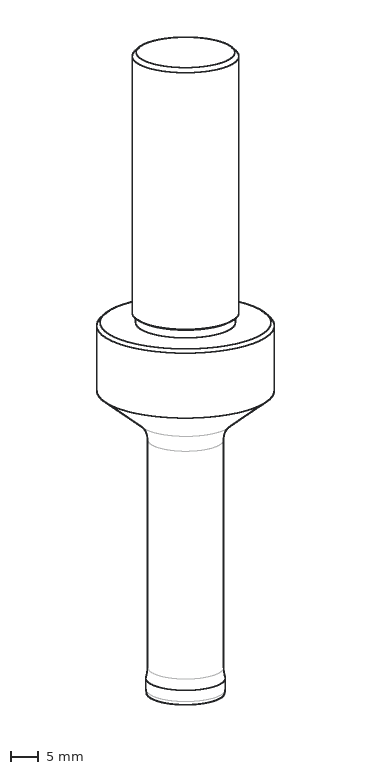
import cadquery as cq
import math

total_height = 120.8

shank_radius = 9.5
shank_bottom = 71.9
shank_chamfer = 0.7
neck_radius = 8.9
neck_step_height = 0.4

collar_radius = 15.88
collar_top = 70.0
collar_bottom = 57.2
collar_chamfer = 0.6
cone_angle = 38.0
stem_radius = 6.82
stem_fillet_radius = 4.2

head_radius = 7.1
head_top = 3.3
head_flare_radius = 7.2
head_chamfer_radial = 0.1
head_chamfer_height = 0.7
tip_cone_top = 0.5


def make_holder():
    """Shank, neck, collar, cone and stem, revolved as one solid."""
    angle = math.radians(cone_angle)
    fillet_center_x = stem_radius + stem_fillet_radius
    fillet_start_x = fillet_center_x - stem_fillet_radius * math.sin(angle)
    fillet_start_z = collar_bottom - (collar_radius - fillet_start_x) * math.tan(angle)
    fillet_end_z = fillet_start_z - stem_fillet_radius * math.cos(angle)
    mid_angle = (math.pi / 2 - angle) / 2
    fillet_mid_x = fillet_center_x - stem_fillet_radius * math.cos(mid_angle)
    fillet_mid_z = fillet_end_z + stem_fillet_radius * math.sin(mid_angle)

    flare_center_x = stem_radius + head_flare_radius
    flare_angle = math.acos((flare_center_x - head_radius) / head_flare_radius)
    flare_top = head_top + head_flare_radius * math.sin(flare_angle)
    flare_mid_x = flare_center_x - head_flare_radius * math.cos(flare_angle / 2)
    flare_mid_z = flare_top - head_flare_radius * math.sin(flare_angle / 2)

    return (
        cq.Workplane("XZ")
        .moveTo(0, total_height)
        .lineTo(shank_radius - shank_chamfer, total_height)
        .lineTo(shank_radius, total_height - shank_chamfer)
        .lineTo(shank_radius, shank_bottom)
        .lineTo(neck_radius, shank_bottom - neck_step_height)
        .lineTo(neck_radius, collar_top)
        .lineTo(collar_radius - collar_chamfer, collar_top)
        .lineTo(collar_radius, collar_top - collar_chamfer)
        .lineTo(collar_radius, collar_bottom)
        .lineTo(fillet_start_x, fillet_start_z)
        .threePointArc((fillet_mid_x, fillet_mid_z), (stem_radius, fillet_end_z))
        .lineTo(stem_radius, flare_top)
        .threePointArc((flare_mid_x, flare_mid_z), (head_radius, head_top))
        .lineTo(0, head_top)
        .close()
        .revolve(360, (0, 0), (0, 1))
    )


def make_head():
    """Short cylindrical head with a chamfered rim and a shallow conical tip."""
    return (
        cq.Workplane("XZ")
        .moveTo(0, head_top)
        .lineTo(head_radius, head_top)
        .lineTo(head_radius, tip_cone_top + head_chamfer_height)
        .lineTo(head_radius - head_chamfer_radial, tip_cone_top)
        .lineTo(0, 0)
        .close()
        .revolve(360, (0, 0), (0, 1))
    )


holder = make_holder()
head = make_head()

result = cq.Compound.makeCompound([holder.val(), head.val()])